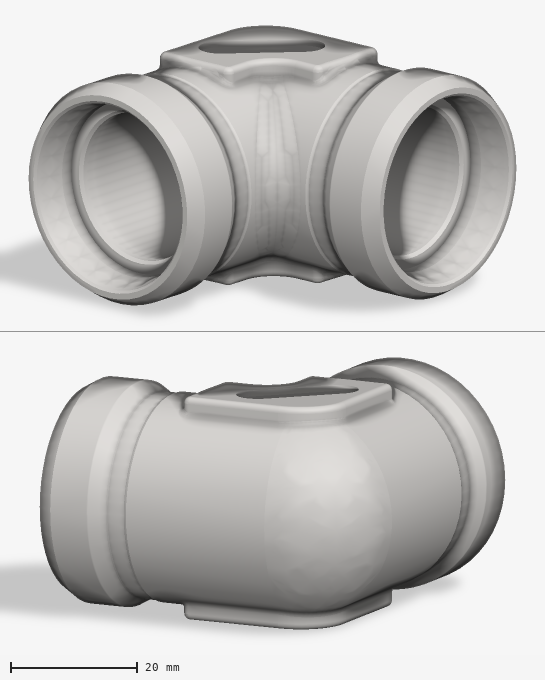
import cadquery as cq
import math


port_reach = 38.0

body_radius = 16.7
body_end = 22.7
outer_bend_radius = 15.0
inner_bend_radius = 5.0
ball_offset = body_radius - outer_bend_radius
bend_half_angle = math.radians(78)
bend_section_count = 15
bend_core_radius = 12.0
crown_half_height = 16.4

join_tolerance = 1e-3
select_reach = 0.1

neck_radius = 32.9 / 2
collar_radius = 18.0
collar_slope = math.radians(30)
collar_slope_fillet = 0.5
shoulder_step_length = 0.5
neck_end = 26.2
lead_in_radius = 16.5

bore_radius = 12.0
bore_edge_chamfer = 0.5
drill_tip_half_angle = math.radians(59)
seat_radius = 28.22 / 2
seat_depth = 7.5
cone_half_angle = math.radians(12)
mouth_radius = 15.15
mouth_edge_chamfer = 0.4

pad_half_height = 17.9
pad_half_width = 7.5
pad_reach = 17.5
pad_outer_radius = 8.0
pad_inner_radius = 5.0
pad_corner_radius = 1.2
pad_edge_fillet = 1.0
pad_base_fillet = 1.0

recess_center = (3.05, -4.4)
recess_width = 6.9
recess_length = 20.0
recess_angle = 45
recess_depth = 1.0


def for_both_legs(x_leg):
    """Return the +X leg shape and its copy turned onto the -Y leg."""
    y_leg = x_leg.rotate((0, 0, 0), (1, -1, 0), 180)
    return x_leg, y_leg


def leg_cylinder(radius, start):
    """Cylinder along the +X leg from x = start to the body end, with its seam on the crown."""
    plane = cq.Plane(origin=(start, 0, 0), xDir=(0, 0, 1), normal=(1, 0, 0))
    return cq.Workplane(plane).circle(radius).extrude(body_end - start)


def mitred_legs(radius):
    """Two cylinders meeting at a sharp 45 degree mitre."""
    far = body_end + radius
    x_side = cq.Workplane("XY").polyline([(-far, far), (far, far), (far, -far)]).close()
    x_side = x_side.extrude(far, both=True)
    x_leg, y_leg = for_both_legs(leg_cylinder(radius, -far).intersect(x_side))
    return x_leg.union(y_leg)


def bend_section(angle):
    """Slice of the outer bend where a ball touching both legs sits at this angle around the mitre."""
    side = math.cos(angle)
    rise = math.sin(angle)
    ball = cq.Vector(-ball_offset * side, ball_offset * side, ball_offset * rise)
    on_y_leg = cq.Vector(-body_radius * side, ball_offset * side, body_radius * rise)
    on_x_leg = cq.Vector(-ball_offset * side, body_radius * side, body_radius * rise)
    outward = ((on_y_leg + on_x_leg) * 0.5 - ball).normalized()
    middle = ball + outward * outer_bend_radius

    axis_point = cq.Vector(0, 0, -ball_offset * rise)
    inner_y_leg = (axis_point + on_y_leg) * 0.5
    inner_x_leg = (axis_point + on_x_leg) * 0.5
    return cq.Wire.assembleEdges([
        cq.Edge.makeLine(inner_y_leg, on_y_leg),
        cq.Edge.makeThreePointArc(on_y_leg, middle, on_x_leg),
        cq.Edge.makeLine(on_x_leg, inner_x_leg),
        cq.Edge.makeLine(inner_x_leg, inner_y_leg),
    ])


def outer_bend():
    """Rounded outer corner, the envelope of a ball rolling along inside the mitre."""
    step = 2 * bend_half_angle / (bend_section_count - 1)
    sections = [bend_section(-bend_half_angle + i * step) for i in range(bend_section_count)]
    return cq.Workplane("XY").newObject([cq.Solid.makeLoft(sections)])


def outer_corner_wedge():
    """Wedge between the planes through the Z axis where the bend runs out into the legs."""
    far = 2 * body_radius
    near = far * ball_offset / body_radius
    wedge = cq.Workplane("XY").polyline([(0, 0), (-far, near), (-far, far), (-near, far)]).close()
    return wedge.extrude(far, both=True)


def elbow_body():
    """Round legs with a filleted inner crease and a ball-rounded outer corner."""
    size = 2 * port_reach
    legs = mitred_legs(body_radius).intersect(cq.Workplane("XY").box(size, size, 2 * crown_half_height))
    inner_side = cq.selectors.BoxSelector((0, -size, -size), (size, 0, size))
    legs = legs.edges("%ELLIPSE").edges(inner_side).fillet(inner_bend_radius)
    elbow = legs.cut(outer_corner_wedge()).union(mitred_legs(bend_core_radius))
    elbow = elbow.union(outer_bend(), tol=join_tolerance)
    for leg in for_both_legs(leg_cylinder(body_radius, 0)):
        elbow = elbow.union(leg)
    return elbow


def turned(profile):
    """Solid turned about the X axis from (x, radius) points that start and end on the axis."""
    return cq.Workplane("XY").polyline(profile).close().revolve(360, (0, 0, 0), (1, 0, 0))


def port_outside():
    """Neck, collar and chamfered lead-in of the +X port, with both ends of the collar slope rounded."""
    collar_start = neck_end + (collar_radius - neck_radius) / math.tan(collar_slope)
    collar_end = port_reach - (collar_radius - lead_in_radius) / math.tan(collar_slope)
    port = turned([
        (0, 0),
        (0, neck_radius),
        (neck_end, neck_radius),
        (collar_start, collar_radius),
        (collar_end, collar_radius),
        (port_reach, lead_in_radius),
        (port_reach, 0),
    ])
    slope_ends = cq.selectors.BoxSelector(
        (neck_end - select_reach, -collar_radius, -collar_radius),
        (collar_start + select_reach, collar_radius, collar_radius),
    )
    return port.edges("%CIRCLE").edges(slope_ends).fillet(collar_slope_fillet)


def body_end_cone():
    """Short cone easing the +X end of the body down to the neck."""
    cone_end = body_end + shoulder_step_length
    return turned([(body_end, 0), (body_end, body_radius), (cone_end, neck_radius), (cone_end, 0)])


def port_bore():
    """Drilled bore of the +X leg with its tube seat, 24 degree cone and mouth."""
    drill_tip = -bore_radius / math.tan(drill_tip_half_angle)
    seat_floor = port_reach - seat_depth
    mouth_floor = port_reach - mouth_edge_chamfer
    cone_floor = mouth_floor - (mouth_radius - seat_radius) / math.tan(cone_half_angle)
    return turned([
        (drill_tip, 0),
        (0, bore_radius),
        (seat_floor - bore_edge_chamfer, bore_radius),
        (seat_floor, bore_radius + bore_edge_chamfer),
        (seat_floor, seat_radius),
        (cone_floor, seat_radius),
        (mouth_floor, mouth_radius),
        (port_reach, mouth_radius + mouth_edge_chamfer),
        (port_reach, 0),
    ])


def corner_at(x, y):
    """Select the vertical edge standing at (x, y)."""
    return cq.selectors.BoxSelector(
        (x - select_reach, y - select_reach, -pad_half_height),
        (x + select_reach, y + select_reach, pad_half_height),
    )


def pad_prism():
    """L-shaped prism through the elbow; its two ends are the top and bottom pads."""
    w = pad_half_width
    outline = [(-w, w), (pad_reach, w), (pad_reach, -w), (w, -w), (w, -pad_reach), (-w, -pad_reach)]
    prism = cq.Workplane("XY").polyline(outline).close().extrude(pad_half_height, both=True)
    prism = prism.edges(corner_at(-w, w)).fillet(pad_outer_radius)
    prism = prism.edges(corner_at(w, -w)).fillet(pad_inner_radius)
    for x, y in [(pad_reach, w), (pad_reach, -w), (w, -pad_reach), (-w, -pad_reach)]:
        prism = prism.edges(corner_at(x, y)).fillet(pad_corner_radius)
    return prism


def add_pads(body):
    """Join the pads to the elbow, rounding first the foot and then the rim of each pad."""
    prism = pad_prism()
    joined = body.union(prism)
    walls = prism.faces("not |Z").vals()

    def is_foot(edge):
        middle = edge.positionAt(0.5)
        if abs(middle.z) > pad_half_height - join_tolerance:
            return False
        point = cq.Vertex.makeVertex(middle.x, middle.y, middle.z)
        return min(wall.distance(point) for wall in walls) < join_tolerance

    feet = [edge for edge in joined.edges("not |Z").vals() if is_foot(edge)]
    joined = joined.newObject(feet).fillet(pad_base_fillet)
    return joined.faces("<Z or >Z").edges().fillet(pad_edge_fillet)


def pad_recess():
    """Slot-shaped recess cut into the top pad."""
    slot = cq.Workplane("XY", origin=(*recess_center, pad_half_height - recess_depth))
    return slot.slot2D(recess_length, recess_width, recess_angle).extrude(2 * recess_depth)


result = add_pads(elbow_body())
for port in for_both_legs(port_outside().union(body_end_cone())):
    result = result.union(port)
for bore in for_both_legs(port_bore()):
    result = result.cut(bore)
result = result.cut(pad_recess()).solids()